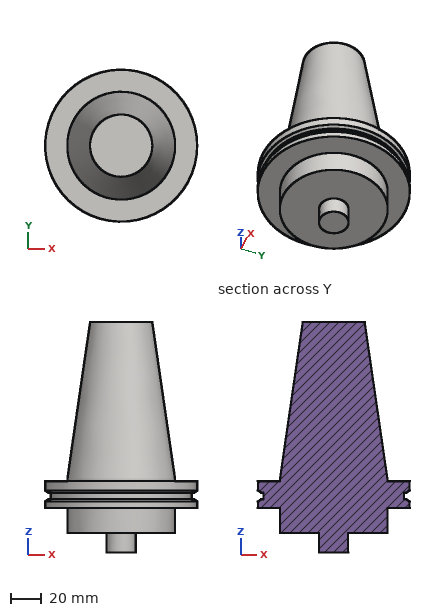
import cadquery as cq

total_height = 149.1
pin_height = 12.5
boss_height = 16.1
lower_rim_height = 4.5
upper_rim_height = 6.3
flange_height = 17.6
collar_height = 1.3

pin_diameter = 19.1
gauge_diameter = 69.8
flange_diameter = 98.4
groove_diameter = 91.2
taper_tip_diameter = 40.3

groove_floor_width = 4.2
groove_bevel_depth = 2.2
groove_bevel_width = (flange_height - lower_rim_height - upper_rim_height - groove_floor_width) / 2

boss_bottom = pin_height
flange_bottom = boss_bottom + boss_height
flange_top = flange_bottom + flange_height
taper_bottom = flange_top + collar_height
groove_bottom = flange_bottom + lower_rim_height
groove_floor_bottom = groove_bottom + groove_bevel_width
groove_floor_top = groove_floor_bottom + groove_floor_width
groove_top = groove_floor_top + groove_bevel_width

pin_radius = pin_diameter / 2
gauge_radius = gauge_diameter / 2
flange_radius = flange_diameter / 2
groove_radius = groove_diameter / 2
bevel_radius = flange_radius - groove_bevel_depth
tip_radius = taper_tip_diameter / 2

profile = [
    (0, 0),
    (pin_radius, 0),
    (pin_radius, boss_bottom),
    (gauge_radius, boss_bottom),
    (gauge_radius, flange_bottom),
    (flange_radius, flange_bottom),
    (flange_radius, groove_bottom),
    (bevel_radius, groove_floor_bottom),
    (groove_radius, groove_floor_bottom),
    (groove_radius, groove_floor_top),
    (bevel_radius, groove_floor_top),
    (flange_radius, groove_top),
    (flange_radius, flange_top),
    (gauge_radius, flange_top),
    (gauge_radius, taper_bottom),
    (tip_radius, total_height),
    (0, total_height),
]

result = cq.Workplane("XZ").polyline(profile).close().revolve(360, (0, 0, 0), (0, 1, 0))